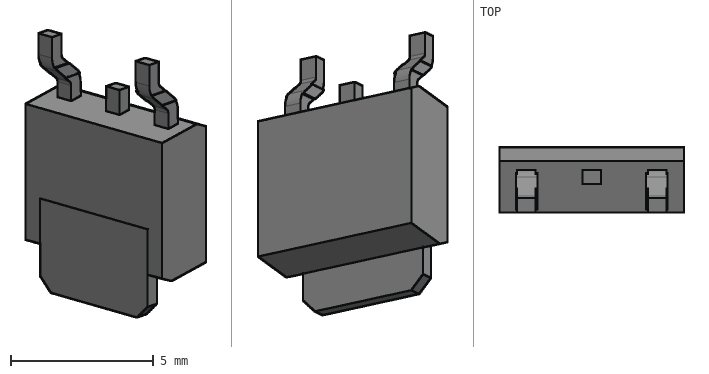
import cadquery as cq
import math

overall_height = 9.5
metal_thickness = 0.5

housing_width = 6.5
housing_depth = 2.3
housing_bottom = 1.5
housing_height = 5.5
long_slope_drop = 0.26
short_slope_drop = 0.2
ridge_inset = 0.49

tab_width = 5.09
tab_height = 3.39
tab_chamfer = 0.5

lead_spacing = 4.62
lead_width = 0.66
lead_offset = 1.0
bend_radius = 0.2
bend_angle = 50.0
upper_bend_start = 8.72
dam_bar_width = 0.75
dam_bar_spacing = 4.58
dam_bar_bottom = 7.85
dam_bar_top = 8.34

stub_width = 0.64
stub_top = 7.81

housing_top = housing_bottom + housing_height
root_bottom = housing_top - long_slope_drop


def extrude_across(profile, width, centre=0.0):
    """Extrude a closed Y-Z profile along X, symmetrically about X = centre."""
    return profile.extrude(width / 2, both=True).translate((centre, 0, 0))


def make_tab():
    """Flat plate, flush with the mounting face, with its two free corners cut off."""
    return (
        cq.Workplane("XY")
        .box(tab_width, metal_thickness, tab_height, centered=(True, False, False))
        .edges("|Y and <Z")
        .chamfer(tab_chamfer)
    )


def make_housing(tab):
    """Prism with a ridge on each end, recessed for the tab."""
    profile = (
        cq.Workplane("YZ")
        .moveTo(0, housing_bottom + short_slope_drop)
        .lineTo(ridge_inset, housing_bottom)
        .lineTo(housing_depth, housing_bottom + long_slope_drop)
        .lineTo(housing_depth, housing_top - short_slope_drop)
        .lineTo(housing_depth - ridge_inset, housing_top)
        .lineTo(0, housing_top - long_slope_drop)
        .close()
    )
    return extrude_across(profile, housing_width).cut(tab).solids()


def lead_profile():
    """Z-bent strip of constant thickness, from the foot down to the root."""
    angle = math.radians(bend_angle)
    middle_radius = bend_radius + metal_thickness / 2
    bend_step = middle_radius * (1 - math.cos(angle))
    bend_fall = middle_radius * math.sin(angle)
    slant_length = (lead_offset - 2 * bend_step) / math.sin(angle)
    slant_fall = slant_length * math.cos(angle)
    lower_bend_end = upper_bend_start - 2 * bend_fall - slant_fall

    foot_back = metal_thickness
    root_front = lead_offset
    root_back = lead_offset + metal_thickness
    outer_radius = bend_radius + metal_thickness
    inner_step = bend_radius * (1 - math.cos(angle))
    inner_fall = bend_radius * math.sin(angle)
    outer_step = outer_radius * (1 - math.cos(angle))
    outer_fall = outer_radius * math.sin(angle)

    return (
        cq.Workplane("YZ")
        .moveTo(0, overall_height)
        .lineTo(0, upper_bend_start)
        .radiusArc((outer_step, upper_bend_start - outer_fall), -outer_radius)
        .lineTo(root_front - inner_step, lower_bend_end + inner_fall)
        .radiusArc((root_front, lower_bend_end), bend_radius)
        .lineTo(root_front, root_bottom)
        .lineTo(root_back, root_bottom)
        .lineTo(root_back, lower_bend_end)
        .radiusArc((root_back - outer_step, lower_bend_end + outer_fall), -outer_radius)
        .lineTo(foot_back + inner_step, upper_bend_start - inner_fall)
        .radiusArc((foot_back, upper_bend_start), bend_radius)
        .lineTo(foot_back, overall_height)
        .close()
    )


def make_outer_lead(side, housing):
    """Bent lead with its dam bar remnant; side is -1 or 1. The root ends on the housing."""
    strip = extrude_across(lead_profile(), lead_width, side * lead_spacing / 2)
    wide_strip = extrude_across(lead_profile(), dam_bar_width, side * dam_bar_spacing / 2)
    band = (
        cq.Workplane("XY")
        .workplane(offset=dam_bar_bottom)
        .rect(2 * housing_width, 2 * housing_depth)
        .extrude(dam_bar_top - dam_bar_bottom)
    )
    return strip.union(wide_strip.intersect(band)).cut(housing).solids()


def make_stub(housing):
    """Short straight middle lead, in line with the roots of the outer leads."""
    return (
        cq.Workplane("XY")
        .box(stub_width, metal_thickness, stub_top - root_bottom, centered=(True, False, False))
        .translate((0, lead_offset, root_bottom))
        .cut(housing)
        .solids()
    )


tab = make_tab()
housing = make_housing(tab)
stub = make_stub(housing)
outer_leads = [make_outer_lead(side, housing) for side in (-1, 1)]

result = cq.Compound.makeCompound(
    [housing.val(), tab.val(), stub.val(), *[lead.val() for lead in outer_leads]]
)